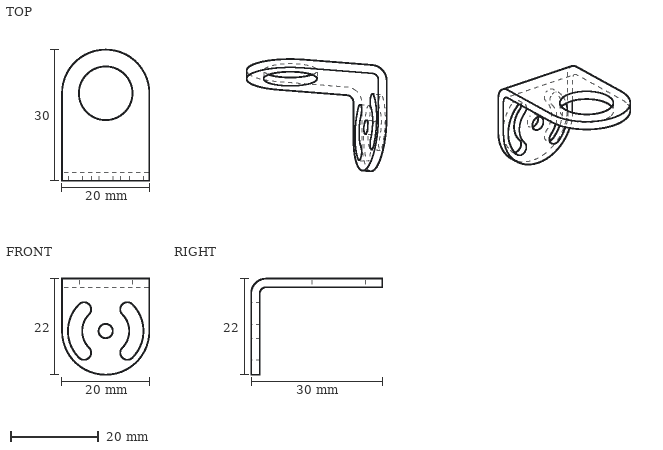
import cadquery as cq
import math

width = 20.0
depth = 30.0
height = 22.0
thickness = 2.0
inner_bend_radius = 1.5
outer_bend_radius = inner_bend_radius + thickness
end_radius = width / 2

large_hole_diameter = 12.2
pivot_hole_diameter = 3.2
slot_width = 3.2
slot_path_radius = 7.0
slot_half_angle = math.radians(45)

large_hole_y = depth - end_radius
pivot_z = -(height - end_radius)


def bent_strip():
    """L-shaped strip of constant thickness, extruded across the full width."""
    profile = (
        cq.Workplane("YZ")
        .moveTo(0, -height)
        .lineTo(0, -outer_bend_radius)
        .radiusArc((outer_bend_radius, 0), outer_bend_radius)
        .lineTo(depth, 0)
        .lineTo(depth, -thickness)
        .lineTo(outer_bend_radius, -thickness)
        .radiusArc((thickness, -outer_bend_radius), -inner_bend_radius)
        .lineTo(thickness, -height)
        .close()
    )
    return profile.extrude(width / 2, both=True)


def round_flange_ends(body):
    """Turn both free ends into full half-circles."""
    top_outline = (
        cq.Workplane("XY")
        .moveTo(-end_radius, 0)
        .lineTo(end_radius, 0)
        .lineTo(end_radius, large_hole_y)
        .threePointArc((0, depth), (-end_radius, large_hole_y))
        .close()
        .extrude(-height)
    )
    front_outline = (
        cq.Workplane("XZ")
        .moveTo(-end_radius, 0)
        .lineTo(end_radius, 0)
        .lineTo(end_radius, pivot_z)
        .threePointArc((0, -height), (-end_radius, pivot_z))
        .close()
        .extrude(-depth)
    )
    return body.intersect(top_outline).intersect(front_outline)


def large_hole():
    """Through hole concentric with the round end of the horizontal flange."""
    return (
        cq.Workplane("XY")
        .center(0, large_hole_y)
        .circle(large_hole_diameter / 2)
        .extrude(-thickness)
    )


def pivot_hole():
    """Through hole concentric with the round end of the vertical flange."""
    return (
        cq.Workplane("XZ")
        .center(0, pivot_z)
        .circle(pivot_hole_diameter / 2)
        .extrude(-thickness)
    )


def arc_slot(side):
    """Round-ended slot curved about the pivot hole; side is -1 (left) or +1 (right)."""
    inner_radius = slot_path_radius - slot_width / 2
    outer_radius = slot_path_radius + slot_width / 2

    def polar(radius, angle):
        return (side * radius * math.cos(angle), radius * math.sin(angle))

    def cap_tip(end):
        """Outermost point of the end cap at the upper (+1) or lower (-1) slot end."""
        angle = end * slot_half_angle
        x, z = polar(slot_path_radius, angle)
        cap_radius = slot_width / 2
        return (
            x - side * end * cap_radius * math.sin(angle),
            z + end * cap_radius * math.cos(angle),
        )

    return (
        cq.Workplane("XZ")
        .center(0, pivot_z)
        .moveTo(*polar(outer_radius, -slot_half_angle))
        .threePointArc(polar(outer_radius, 0), polar(outer_radius, slot_half_angle))
        .threePointArc(cap_tip(1), polar(inner_radius, slot_half_angle))
        .threePointArc(polar(inner_radius, 0), polar(inner_radius, -slot_half_angle))
        .threePointArc(cap_tip(-1), polar(outer_radius, -slot_half_angle))
        .close()
        .extrude(-thickness)
    )


bracket = round_flange_ends(bent_strip())
bracket = bracket.cut(large_hole()).cut(pivot_hole())
for slot_side in (-1, 1):
    bracket = bracket.cut(arc_slot(slot_side))

result = bracket